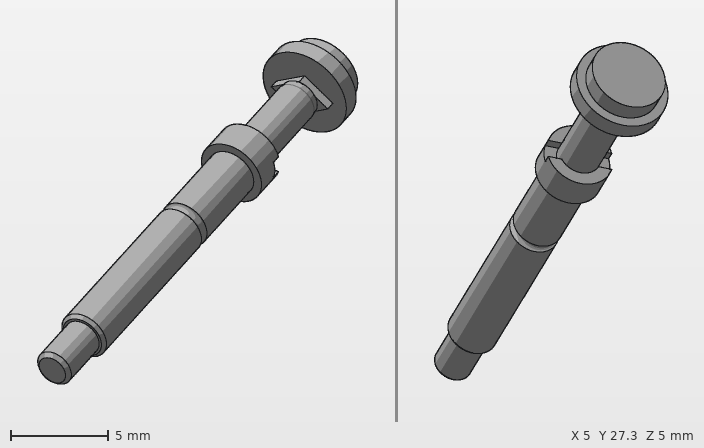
import cadquery as cq

LENGTH = 27.3
HEAD_END = LENGTH / 2
TIP_END = -LENGTH / 2

CAP_RADIUS = 2.0
CAP_LENGTH = 1.0
FLANGE_DIAMETER = 5.0
FLANGE_LENGTH = 0.98

DIAMOND_WIDTH = 3.39
DIAMOND_LENGTH = 0.52
DIAMOND_CORE_RADIUS = 0.82

NECK_RADIUS = 1.12
NECK_ROOT_RADIUS = 1.06
NECK_TAPER_LENGTH = 0.4

COLLAR_RADIUS = 1.8
COLLAR_START = 6.15
COLLAR_LENGTH = 1.83
SLOT_WIDTH = 1.0
SLOT_DEPTH = 0.5

BARREL_RADIUS = 1.35
BARREL_END = -10.65
BARREL_CHAMFER = 0.2
GROOVE_WIDTH = 0.55
GROOVE_DEPTH = 0.25
GROOVE_MIDDLE = -0.65

TIP_RADIUS = 1.0
TIP_CHAMFER = 0.22

diamond_height = 2 * NECK_RADIUS

flange_radius = FLANGE_DIAMETER / 2
flange_start = HEAD_END - CAP_LENGTH
diamond_start = flange_start - FLANGE_LENGTH
neck_start = diamond_start - DIAMOND_LENGTH
collar_end = COLLAR_START - COLLAR_LENGTH


def turned_body():
    """Revolve the (radius, y) half outline about the pin axis."""
    outline = (
        cq.Workplane("XY")
        .moveTo(0, HEAD_END)
        .lineTo(CAP_RADIUS, HEAD_END)
        .lineTo(CAP_RADIUS, flange_start)
        .lineTo(flange_radius, flange_start)
        .lineTo(flange_radius, diamond_start)
        .lineTo(DIAMOND_CORE_RADIUS, diamond_start)
        .lineTo(DIAMOND_CORE_RADIUS, neck_start)
        .lineTo(NECK_ROOT_RADIUS, neck_start)
        .lineTo(NECK_RADIUS, neck_start - NECK_TAPER_LENGTH)
        .lineTo(NECK_RADIUS, COLLAR_START)
        .lineTo(COLLAR_RADIUS, COLLAR_START)
        .lineTo(COLLAR_RADIUS, collar_end)
        .lineTo(BARREL_RADIUS, collar_end)
        .lineTo(BARREL_RADIUS, GROOVE_MIDDLE + GROOVE_WIDTH / 2)
        .threePointArc(
            (BARREL_RADIUS - GROOVE_DEPTH, GROOVE_MIDDLE),
            (BARREL_RADIUS, GROOVE_MIDDLE - GROOVE_WIDTH / 2),
        )
        .lineTo(BARREL_RADIUS, BARREL_END + BARREL_CHAMFER)
        .lineTo(BARREL_RADIUS - BARREL_CHAMFER, BARREL_END)
        .lineTo(TIP_RADIUS, BARREL_END)
        .lineTo(TIP_RADIUS, TIP_END + TIP_CHAMFER)
        .lineTo(TIP_RADIUS - TIP_CHAMFER, TIP_END)
        .lineTo(0, TIP_END)
        .close()
    )
    return outline.revolve(360, (0, 0, 0), (0, 1, 0))


def diamond_plate():
    """Diamond prism joining the underside of the flange to the neck."""
    half_width = DIAMOND_WIDTH / 2
    half_height = diamond_height / 2
    corners = [(half_width, 0), (0, half_height), (-half_width, 0), (0, -half_height)]
    return (
        cq.Workplane("XZ", origin=(0, diamond_start, 0))
        .polyline(corners)
        .close()
        .extrude(DIAMOND_LENGTH)
    )


def collar_slot():
    """Slot running along X through the collar on both sides of the neck."""
    slot = (
        cq.Workplane("XY")
        .box(2 * COLLAR_RADIUS, SLOT_DEPTH, SLOT_WIDTH)
        .translate((0, COLLAR_START - SLOT_DEPTH / 2, 0))
    )
    neck = (
        cq.Workplane("XZ", origin=(0, COLLAR_START, 0))
        .circle(NECK_RADIUS)
        .extrude(SLOT_DEPTH)
    )
    return slot.cut(neck)


result = turned_body().union(diamond_plate()).cut(collar_slot())